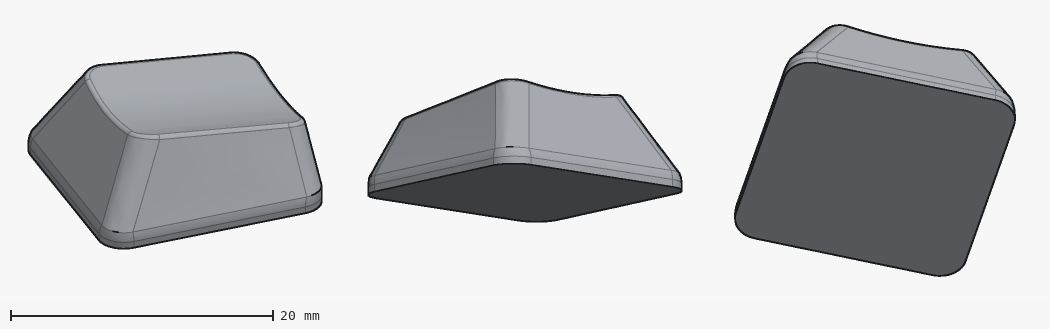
import cadquery as cq
import math

base_size = 18.16
half_base = base_size / 2
skirt_corner_radius = 2.04

bend_height = 0.96
bend_reach = 0.37
skirt_height = bend_height - bend_reach
wall_foot_height = bend_height + bend_reach

wall_corner_radius = 1.82
side_slope = math.tan(math.radians(25.2))
front_slope = math.tan(math.radians(29.0))
back_slope = math.tan(math.radians(4.0))

dish_radius = 24.0
dish_tilt = math.radians(6.8)
tilt_slope = math.tan(dish_tilt)
dish_front_y = -5.5
dish_front_z = 6.98
rim_radius = 0.4

blank_clearance = 1.0


def rounded_outline(width, front_y, back_y, height, radius, tilt=0.0):
    """Rounded rectangle from front_y to back_y; height is at mid depth, tilt drops it to the back."""
    depth = (back_y - front_y) / math.cos(tilt)
    plane = cq.Plane(
        origin=(0, (front_y + back_y) / 2, height),
        xDir=(1, 0, 0),
        normal=(0, math.sin(tilt), math.cos(tilt)),
    )
    outline = cq.Sketch().rect(width, depth).vertices().fillet(radius)
    return outline.moved(cq.Location(plane))


def level_outline(height, wall_run, radius):
    """Level outline whose sides are inset by what the walls lean over a height of wall_run."""
    return rounded_outline(
        base_size - 2 * side_slope * wall_run,
        -half_base + front_slope * wall_run,
        half_base - back_slope * wall_run,
        height,
        radius,
    )


def top_outline():
    """Outline where the wall planes reach the tilted plane z = axis_z - tilt_slope * y."""
    axis_z = dish_front_z + blank_clearance + tilt_slope * dish_front_y
    axis_rise = axis_z - bend_height
    front_y = (front_slope * axis_rise - half_base) / (1 + front_slope * tilt_slope)
    back_y = (half_base - back_slope * axis_rise) / (1 - back_slope * tilt_slope)
    front_rise = axis_rise - tilt_slope * front_y
    width = base_size - 2 * side_slope * front_rise
    height = axis_z - tilt_slope * (front_y + back_y) / 2
    return rounded_outline(width, front_y, back_y, height, wall_corner_radius, dish_tilt)


def skirt():
    return cq.Workplane("XY").placeSketch(level_outline(0, 0, skirt_corner_radius)).extrude(skirt_height)


def knee():
    """Parabolic bend, tangent to the skirt below and to the walls above."""
    bend_share = 0.25
    middle_radius = skirt_corner_radius + bend_share * (wall_corner_radius - skirt_corner_radius)
    return (
        cq.Workplane("XY")
        .placeSketch(
            level_outline(skirt_height, 0, skirt_corner_radius),
            level_outline(bend_height, bend_reach * bend_share, middle_radius),
            level_outline(wall_foot_height, bend_reach, wall_corner_radius),
        )
        .loft()
    )


def leaning_walls():
    foot = level_outline(wall_foot_height, bend_reach, wall_corner_radius)
    return cq.Workplane("XY").placeSketch(foot, top_outline()).loft(ruled=True)


def dish_cutter():
    """Cylinder that hollows the top from side to side."""
    axis = cq.Vector(0, math.cos(dish_tilt), -math.sin(dish_tilt))
    upward = cq.Vector(0, math.sin(dish_tilt), math.cos(dish_tilt))
    length = 2 * base_size
    lowest_point = cq.Vector(0, dish_front_y, dish_front_z)
    start = lowest_point + upward * dish_radius - axis * (length / 2)
    return cq.Workplane(cq.Solid.makeCylinder(dish_radius, length, start, axis))


blank = skirt().union(knee()).union(leaning_walls())
dished = blank.cut(dish_cutter())
dish_face = dished.faces(cq.selectors.NearestToPointSelector((0, 0, dish_front_z)))
result = dish_face.edges().fillet(rim_radius)